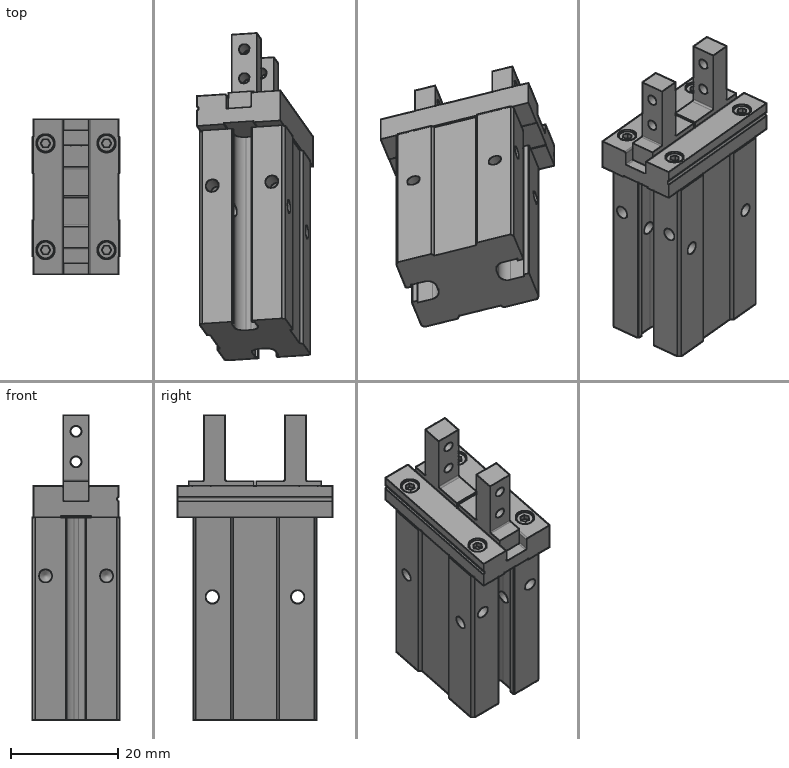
import cadquery as cq
import math


total_height = 57.0
plate_bottom = 37.9
plate_top = 43.8
channel_floor = 40.9
jaw_base_top = 44.7

housing_width = 16.4
housing_length = 23.0
flank_depth = 0.55
flank_run = 0.45
side_recess_half_length = 4.5

groove_mouth_half_width = 1.75
groove_mouth_chamfer = 0.15
groove_lip_depth = 1.1
groove_floor_half_width = 0.45
groove_floor_radius = 1.75
groove_depth = 5.65

mount_hole_diameter = 2.45
side_hole_offset = 8.0
side_hole_height = 23.0
end_hole_offset = 5.7
end_hole_height = 26.95
end_hole_depth = 4.55
drill_point_angle = 118.0

plate_width = 15.95
plate_length = 29.0
floor_corner_radius = 0.2
upper_edge_radius = 0.3
relief_width = 5.7
relief_depth = 0.2
mark_diameter = 0.9
mark_depth = 0.3
mark_height = 41.3

screw_x = 5.7
screw_y = 10.0
screw_bore_diameter = 3.5
screw_head_diameter = 3.1
screw_head_height = 1.7
screw_head_drop = 0.3
socket_across_flats = 1.55
socket_depth = 1.0

jaw_width = 4.8
jaw_inner_y = 0.2
jaw_outer_y = 12.4
finger_inner_y = 5.6
finger_thickness = 4.0
inner_foot_radius = 0.35
outer_foot_radius = 0.2
finger_hole_diameter = 2.0
finger_hole_heights = (48.3, 54.0)


def box(x_range, y_range, z_range):
    """Box between the given lower and upper limits along each axis."""
    (x0, x1), (y0, y1), (z0, z1) = x_range, y_range, z_range
    return cq.Workplane("XY").box(x1 - x0, y1 - y0, z1 - z0, centered=False).translate((x0, y0, z0))


def centred_box(width, length, bottom, top):
    """Box centred on the Z axis between two levels."""
    return box((-width / 2, width / 2), (-length / 2, length / 2), (bottom, top))


def housing_block():
    """Housing block with its four upright corners chamfered."""
    half_width = housing_width / 2
    half_length = housing_length / 2
    outline = []
    for side_x, side_y in ((-1, -1), (1, -1), (1, 1), (-1, 1)):
        side_corner = (side_x * half_width, side_y * (half_length - flank_run))
        end_corner = (side_x * (half_width - flank_depth), side_y * half_length)
        outline += [side_corner, end_corner] if side_x == side_y else [end_corner, side_corner]
    return cq.Workplane("XY").polyline(outline).close().extrude(plate_bottom)


def side_recess():
    """Full-height shallow recess with sloping flanks in the -X side of the housing."""
    face_x = -housing_width / 2
    floor_half_length = side_recess_half_length - flank_run
    return (
        cq.Workplane("XY")
        .moveTo(face_x, -side_recess_half_length)
        .lineTo(face_x + flank_depth, -floor_half_length)
        .lineTo(face_x + flank_depth, floor_half_length)
        .lineTo(face_x, side_recess_half_length)
        .close()
        .extrude(plate_bottom)
    )


def sensor_groove():
    """Full-height undercut groove in the -Y end: chamfered mouth, lips and a rounded floor."""
    face_y = -housing_length / 2
    lip_y = face_y + groove_lip_depth
    floor_y = face_y + groove_depth
    arc_start_y = floor_y - groove_floor_radius
    cavity_half_width = groove_floor_half_width + groove_floor_radius
    mouth_edge = groove_mouth_half_width + groove_mouth_chamfer
    arc_mid_x = groove_floor_half_width + groove_floor_radius * math.sqrt(0.5)
    arc_mid_y = arc_start_y + groove_floor_radius * math.sqrt(0.5)
    return (
        cq.Workplane("XY")
        .moveTo(-mouth_edge, face_y)
        .lineTo(mouth_edge, face_y)
        .lineTo(groove_mouth_half_width, face_y + groove_mouth_chamfer)
        .lineTo(groove_mouth_half_width, lip_y)
        .lineTo(cavity_half_width, lip_y)
        .lineTo(cavity_half_width, arc_start_y)
        .threePointArc((arc_mid_x, arc_mid_y), (groove_floor_half_width, floor_y))
        .lineTo(-groove_floor_half_width, floor_y)
        .threePointArc((-arc_mid_x, arc_mid_y), (-cavity_half_width, arc_start_y))
        .lineTo(-cavity_half_width, lip_y)
        .lineTo(-groove_mouth_half_width, lip_y)
        .lineTo(-groove_mouth_half_width, face_y + groove_mouth_chamfer)
        .close()
        .extrude(plate_bottom)
    )


def side_holes():
    """Pair of mounting holes through the whole width along X."""
    return (
        cq.Workplane("YZ", origin=(-housing_width / 2, 0, side_hole_height))
        .pushPoints([(-side_hole_offset, 0), (side_hole_offset, 0)])
        .circle(mount_hole_diameter / 2)
        .extrude(housing_width)
    )


def end_hole(x):
    """Blind hole with a drill point, bored along +Y into the -Y end."""
    radius = mount_hole_diameter / 2
    point_length = radius / math.tan(math.radians(drill_point_angle / 2))
    return (
        cq.Workplane("XY")
        .lineTo(radius, 0)
        .lineTo(radius, end_hole_depth)
        .lineTo(0, end_hole_depth + point_length)
        .close()
        .revolve(360, (0, 0), (0, 1))
        .translate((x, -housing_length / 2, end_hole_height))
    )


def both_ways(cutter):
    """The cutter together with its copy turned half a turn about the Z axis."""
    return [cutter, cutter.rotate((0, 0, 0), (0, 0, 1), 180)]


def make_housing():
    housing = housing_block()
    cutters = both_ways(side_recess()) + both_ways(sensor_groove())
    for x in (-end_hole_offset, end_hole_offset):
        cutters += both_ways(end_hole(x))
    for cutter in cutters:
        housing = housing.cut(cutter)
    return housing.cut(side_holes())


def screw_recess(x, y):
    """Space around a sunken screw head: bore above it, ring beside it and hexagon socket in it."""
    top = cq.Workplane("XY", origin=(x, y, plate_top))
    head_top = cq.Workplane("XY", origin=(x, y, plate_top - screw_head_drop))
    bore = top.circle(screw_bore_diameter / 2).extrude(-screw_head_drop - screw_head_height)
    head = head_top.circle(screw_head_diameter / 2).extrude(-screw_head_height)
    across_corners = socket_across_flats / math.cos(math.radians(30))
    socket = head_top.polygon(6, across_corners).extrude(-socket_depth)
    return bore.cut(head).union(socket)


def make_plate():
    plate = centred_box(plate_width, plate_length, plate_bottom, plate_top)

    channel = centred_box(jaw_width, plate_length, channel_floor, plate_top)
    channel = channel.edges("|Y and <Z").fillet(floor_corner_radius)
    plate = plate.cut(channel)
    for side in (-1, 1):
        edge_point = (side * jaw_width / 2, 0, plate_top)
        plate = plate.edges(cq.selectors.NearestToPointSelector(edge_point)).fillet(upper_edge_radius)

    plate = plate.cut(centred_box(relief_width, plate_length, plate_bottom, plate_bottom + relief_depth))

    mark_axis_x = plate_width / 2 + mark_diameter / 2 - mark_depth
    mark = (
        cq.Workplane("XZ", origin=(mark_axis_x, plate_length / 2, mark_height))
        .circle(mark_diameter / 2)
        .extrude(plate_length)
    )
    plate = plate.cut(mark)

    for x in (-screw_x, screw_x):
        for y in (-screw_y, screw_y):
            plate = plate.cut(screw_recess(x, y))
    return plate


def make_body():
    """Housing and guide plate as one solid."""
    return make_housing().union(make_plate())


def make_jaw():
    """Jaw on the +Y side: a slider in the guide channel with an upright, drilled finger."""
    half_width = jaw_width / 2
    finger_outer_y = finger_inner_y + finger_thickness
    profile = (
        cq.Workplane("YZ", origin=(-half_width, 0, 0))
        .moveTo(jaw_inner_y, channel_floor)
        .lineTo(jaw_outer_y, channel_floor)
        .lineTo(jaw_outer_y, jaw_base_top)
        .lineTo(finger_outer_y, jaw_base_top)
        .lineTo(finger_outer_y, total_height)
        .lineTo(finger_inner_y, total_height)
        .lineTo(finger_inner_y, jaw_base_top)
        .lineTo(jaw_inner_y, jaw_base_top)
        .close()
    )
    jaw = profile.extrude(jaw_width)

    jaw = jaw.edges("|Y and <Z").fillet(floor_corner_radius)

    for foot_y, radius in ((finger_inner_y, inner_foot_radius), (finger_outer_y, outer_foot_radius)):
        foot_edge = cq.selectors.NearestToPointSelector((0, foot_y, jaw_base_top))
        jaw = jaw.edges(foot_edge).fillet(radius)

    holes = (
        cq.Workplane("XZ", origin=(0, finger_outer_y, 0))
        .pushPoints([(0, height) for height in finger_hole_heights])
        .circle(finger_hole_diameter / 2)
        .extrude(finger_thickness)
    )
    return jaw.cut(holes)


body = make_body()
jaws = [make_jaw().rotate((0, 0, 0), (0, 0, 1), turn) for turn in (0, 180)]

result = cq.Compound.makeCompound([body.val(), *[jaw.val() for jaw in jaws]])